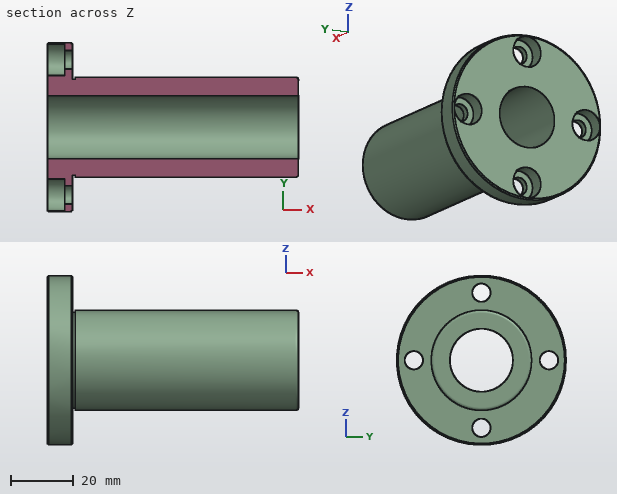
import cadquery as cq

length = 80
flange_diameter = 54.0
flange_thickness = 8
flange_chamfer = 0.5

sleeve_diameter = 32
sleeve_rounding = 1.0
bore_diameter = 20

relief_width = 0.8
relief_depth = 0.6

hole_count = 4
hole_circle_diameter = 43.0
hole_diameter = 5.8
counterbore_diameter = 10.0
counterbore_depth = 5.4


def make_body():
    """Revolve the stepped half profile about the X axis."""
    flange_radius = flange_diameter / 2
    sleeve_radius = sleeve_diameter / 2
    bore_radius = bore_diameter / 2
    relief_radius = sleeve_radius - relief_depth
    relief_end = flange_thickness + relief_width
    outline_to_rounding = [
        (0, bore_radius),
        (0, flange_radius - flange_chamfer),
        (flange_chamfer, flange_radius),
        (flange_thickness - flange_chamfer, flange_radius),
        (flange_thickness, flange_radius - flange_chamfer),
        (flange_thickness, relief_radius),
        (relief_end, relief_radius),
        (relief_end, sleeve_radius),
        (length - sleeve_rounding, sleeve_radius),
    ]
    profile = (
        cq.Workplane("XY")
        .polyline(outline_to_rounding)
        .tangentArcPoint((length, sleeve_radius - sleeve_rounding), relative=False)
        .lineTo(length, bore_radius)
        .close()
    )
    return profile.revolve(360, (0, 0, 0), (1, 0, 0))


def make_hole_cutters():
    """Stepped cylinders entering the flange from its outer face."""

    def hole_centres():
        return cq.Workplane("YZ").polarArray(hole_circle_diameter / 2, 0, 360, hole_count)

    through_holes = hole_centres().circle(hole_diameter / 2).extrude(flange_thickness)
    counterbores = hole_centres().circle(counterbore_diameter / 2).extrude(counterbore_depth)
    return through_holes.union(counterbores)


result = make_body().cut(make_hole_cutters())